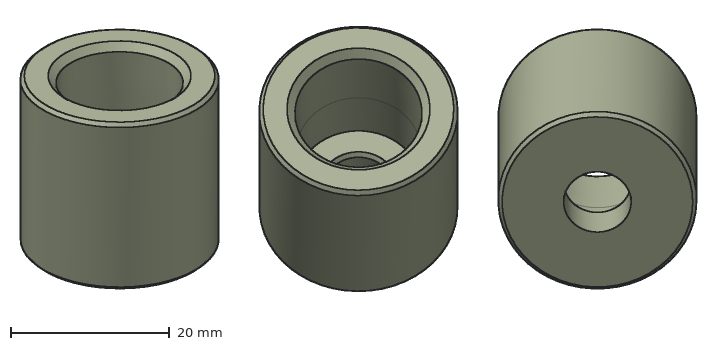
import cadquery as cq

outer_diameter = 25
height = 24
outer_chamfer = 0.5

mouth_diameter = 16
mouth_chamfer = 1
straight_diameter = 15.7
taper_end_depth = 10
floor_height = 6

hole_diameter = 8.5
hole_chamfer = 0.5


def make_body():
    """Cylinder with both outer rims chamfered."""
    body = cq.Workplane("XY").circle(outer_diameter / 2).extrude(height)
    return body.edges().chamfer(outer_chamfer)


def make_cavity():
    """Revolved solid of everything removed along the axis."""
    mouth_radius = mouth_diameter / 2
    straight_radius = straight_diameter / 2
    hole_radius = hole_diameter / 2
    half_profile = [
        (0, 0),
        (hole_radius, 0),
        (hole_radius, floor_height - hole_chamfer),
        (hole_radius + hole_chamfer, floor_height),
        (straight_radius, floor_height),
        (straight_radius, height - taper_end_depth),
        (mouth_radius, height - mouth_chamfer),
        (mouth_radius + mouth_chamfer, height),
        (0, height),
    ]
    return cq.Workplane("XZ").polyline(half_profile).close().revolve(360, (0, 0), (0, 1))


result = make_body().cut(make_cavity())